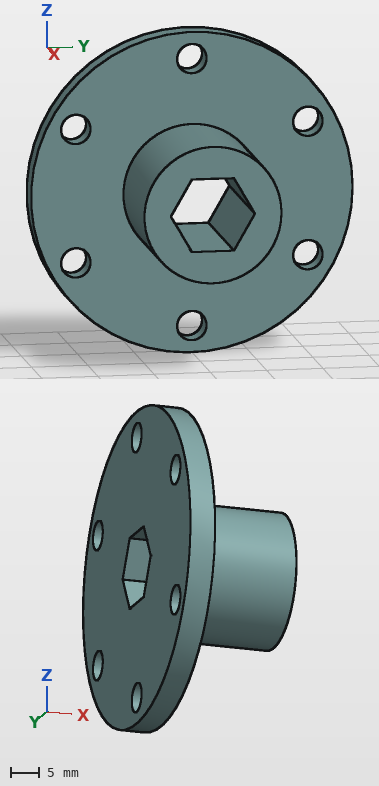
import cadquery as cq

flange_diameter = 57.15
flange_thickness = 4.6

overall_length = 25.4
hub_diameter = 24.35

hex_across_flats = 12.9
hex_sides = 6
hex_turn = 180 / hex_sides

bolt_hole_diameter = 5.2
bolt_circle_diameter = 47.6
bolt_count = 6
first_bolt_angle = 90.0


def make_body():
    """Flange and hub on the X axis, starting at X = 0."""
    flange = cq.Workplane("YZ").circle(flange_diameter / 2).extrude(flange_thickness)
    hub = cq.Workplane("YZ").circle(hub_diameter / 2).extrude(overall_length)
    return flange.union(hub)


def make_hex_bore():
    """Hexagonal prism through the full length, with corners on the Y axis."""
    return (
        cq.Workplane("YZ")
        .polygon(hex_sides, hex_across_flats, circumscribed=True)
        .extrude(overall_length)
        .rotate((0, 0, 0), (1, 0, 0), hex_turn)
    )


def make_bolt_holes():
    """Ring of cylinders through the flange."""
    return (
        cq.Workplane("YZ")
        .polarArray(bolt_circle_diameter / 2, first_bolt_angle, 360, bolt_count)
        .circle(bolt_hole_diameter / 2)
        .extrude(flange_thickness)
    )


result = make_body().cut(make_hex_bore()).cut(make_bolt_holes())